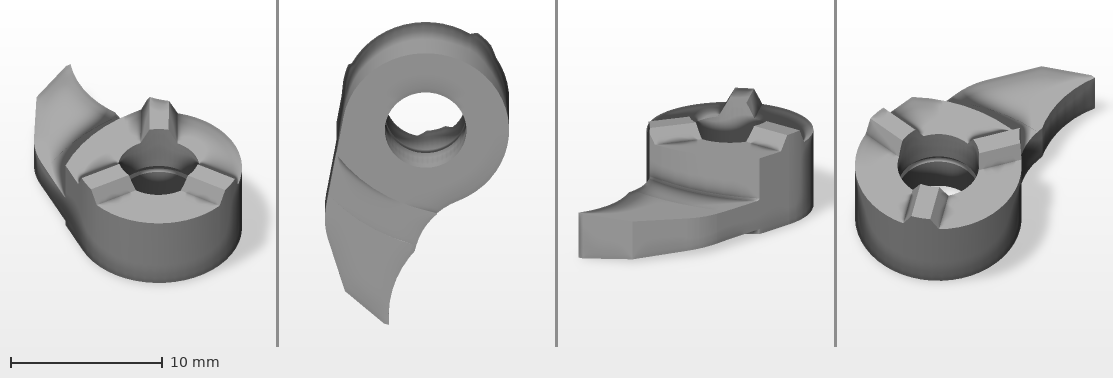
import cadquery as cq
import math

RING_RADIUS = 5.5
RING_HEIGHT = 5.28
BORE_RADIUS = 2.7

GROOVE_DEPTH = 0.33
GROOVE_BOTTOM_Z = 2.48
GROOVE_WIDTH = 0.53

TOOTH_COUNT = 3
FIRST_TOOTH_ANGLE = 30.0
TOOTH_TOP_WIDTH = 1.27
TOOTH_BASE_WIDTH = 2.42
TOOTH_HEIGHT = 1.0

TIP_LENGTH = 14.0
EDGE_Y = 1.25
NOSE_WIDTH = 0.35
HEEL = (-12.52, -2.16)
JOINT_X = -8.52
JOINT_TOP_Y = 1.52
RAKE_LOW = (-11.58, 0.82)
NECK_X = -8.07
BACK_ANGLE = 5.0
HEEL_ANGLE = 32.0
BACK_FILLET = 5.0

ARM_MID_Z = 1.355
TIP_HALF_THICKNESS = 1.57
NECK_HALF_THICKNESS = 1.45
LENGTH_TAPER = 0.019
TIP_RELIEF = 0.065
NECK_RELIEF = 0.068

WALL_X = -5.54
WALL_RADIUS = 10.18
NECK_EDGE_RADIUS = 11.7
FOOT_FILLET = 0.14

FAR = 29.25


def back_edge():
    """Tangent points of the back edge on the ring, both ends of its fillet and the fillet middle."""
    back, heel = math.radians(BACK_ANGLE), math.radians(HEEL_ANGLE)
    ring_point = (-RING_RADIUS * math.sin(back), -RING_RADIUS * math.cos(back))
    back_slope, heel_slope = -math.tan(back), -math.tan(heel)
    corner_x = (HEEL[1] - ring_point[1] + back_slope * ring_point[0] - heel_slope * HEEL[0]) / (
        back_slope - heel_slope)
    corner_y = HEEL[1] + heel_slope * (corner_x - HEEL[0])
    setback = BACK_FILLET * math.tan((heel - back) / 2)
    end = (corner_x + setback * math.cos(back), corner_y - setback * math.sin(back))
    centre = (end[0] + BACK_FILLET * math.sin(back), end[1] + BACK_FILLET * math.cos(back))

    def on_fillet(angle):
        return (centre[0] - BACK_FILLET * math.sin(angle), centre[1] - BACK_FILLET * math.cos(angle))

    return ring_point, end, on_fillet((back + heel) / 2), on_fillet(heel)


def neck_hollow():
    """Middle and end of the arc that leaves the neck level and runs tangent into the ring."""
    radius = (NECK_X**2 + JOINT_TOP_Y**2 - RING_RADIUS**2) / (2 * (RING_RADIUS - JOINT_TOP_Y))
    centre = (NECK_X, JOINT_TOP_Y + radius)
    end_angle = math.atan2(-centre[1], -centre[0])
    mid_angle = (end_angle - math.pi / 2) / 2
    middle = (centre[0] + radius * math.cos(mid_angle), centre[1] + radius * math.sin(mid_angle))
    end = (centre[0] + radius * math.cos(end_angle), centre[1] + radius * math.sin(end_angle))
    return middle, end


def plan_prism(bottom, top):
    """The whole plan outline of ring, arm and tip, extruded between two levels."""
    ring_point, fillet_end, fillet_middle, fillet_start = back_edge()
    hollow_middle, hollow_end = neck_hollow()
    return (
        cq.Workplane("XY", origin=(0, 0, bottom))
        .moveTo(-TIP_LENGTH, EDGE_Y)
        .lineTo(-TIP_LENGTH, EDGE_Y - NOSE_WIDTH)
        .lineTo(*HEEL)
        .lineTo(*fillet_start)
        .threePointArc(fillet_middle, fillet_end)
        .lineTo(*ring_point)
        .threePointArc((RING_RADIUS, 0), hollow_end)
        .threePointArc(hollow_middle, (NECK_X, JOINT_TOP_Y))
        .lineTo(JOINT_X, JOINT_TOP_Y)
        .threePointArc(RAKE_LOW, (-TIP_LENGTH, EDGE_Y))
        .close()
        .extrude(top - bottom)
    )


def ring_side(wall_x, radius):
    """Everything on the ring side of a wall: straight above EDGE_Y, a tangent arc below it."""
    straight = cq.Workplane("XY").box(FAR, FAR, FAR, centered=(False, False, True))
    straight = straight.translate((wall_x, EDGE_Y, 0))
    half_round = cq.Workplane("XY", origin=(wall_x + radius, EDGE_Y, -FAR / 2)).circle(radius).extrude(FAR)
    return straight.union(half_round)


def taper_slab(half_thickness, start_x, length_taper, relief, level_above_edge):
    """Slab about the middle plane, half_thickness at (start_x, EDGE_Y), thinning along +X and -Y.

    Above EDGE_Y it either stays level or carries on with the same slope.
    """
    low_y, high_y = -RING_RADIUS, RING_RADIUS
    high_rise = 0 if level_above_edge else relief * (high_y - EDGE_Y)
    rises = [(low_y, relief * (low_y - EDGE_Y)), (EDGE_Y, 0), (high_y, high_rise)]

    def section(x):
        half = half_thickness - length_taper * (x - start_x)
        upper = [cq.Vector(x, y, ARM_MID_Z + half + rise) for y, rise in rises]
        lower = [cq.Vector(x, y, ARM_MID_Z - half - rise) for y, rise in reversed(rises)]
        return cq.Wire.makePolygon(upper + lower, close=True)

    return cq.Workplane(cq.Solid.makeLoft([section(-TIP_LENGTH), section(0)], True)).clean()


def tapered_blade():
    """Cutting tip and the front of the arm, up to the curved edge at the neck."""
    slab = taper_slab(TIP_HALF_THICKNESS, -TIP_LENGTH, LENGTH_TAPER, TIP_RELIEF, True)
    outline = plan_prism(-RING_HEIGHT, RING_HEIGHT)
    return outline.intersect(slab).cut(ring_side(NECK_X, NECK_EDGE_RADIUS))


def neck():
    """Arm between the curved edge and the step wall."""
    slab = taper_slab(NECK_HALF_THICKNESS, NECK_X, 0, NECK_RELIEF, False)
    band = ring_side(NECK_X, NECK_EDGE_RADIUS).cut(ring_side(WALL_X, WALL_RADIUS))
    return plan_prism(-RING_HEIGHT, RING_HEIGHT).intersect(slab).intersect(band)


def tooth(angle):
    """Radial tooth of trapezoid section, trimmed to the ring's outline."""
    prism = (
        cq.Workplane("YZ")
        .polyline([
            (-TOOTH_BASE_WIDTH / 2, RING_HEIGHT),
            (TOOTH_BASE_WIDTH / 2, RING_HEIGHT),
            (TOOTH_TOP_WIDTH / 2, RING_HEIGHT + TOOTH_HEIGHT),
            (-TOOTH_TOP_WIDTH / 2, RING_HEIGHT + TOOTH_HEIGHT),
        ])
        .close()
        .extrude(FAR)
        .rotate((0, 0, 0), (0, 0, 1), angle)
    )
    trim = plan_prism(RING_HEIGHT, RING_HEIGHT + TOOTH_HEIGHT)
    return prism.intersect(trim).intersect(ring_side(WALL_X, WALL_RADIUS))


def half_space_of_tip():
    """Block that holds everything on the tip side of the joint."""
    return cq.Workplane("XY").box(FAR, FAR, FAR).translate((JOINT_X - FAR / 2, 0, 0))


def make_holder(blade):
    """Ring with teeth and bore, joined to the arm as far as the joint."""
    ring = plan_prism(0, RING_HEIGHT).intersect(ring_side(WALL_X, WALL_RADIUS))
    holder = ring.union(neck())
    foot = cq.selectors.BoxSelector(
        (WALL_X - 0.2, -BORE_RADIUS, ARM_MID_Z),
        (-BORE_RADIUS, BORE_RADIUS, RING_HEIGHT / 2),
    )
    holder = holder.edges(foot).edges("not |Z").fillet(FOOT_FILLET)
    holder = holder.union(blade.cut(half_space_of_tip()))
    for index in range(TOOTH_COUNT):
        holder = holder.union(tooth(FIRST_TOOTH_ANGLE + index * 360 / TOOTH_COUNT))
    bore = cq.Workplane("XY").circle(BORE_RADIUS).extrude(RING_HEIGHT + TOOTH_HEIGHT)
    groove = (
        cq.Workplane("XY", origin=(0, 0, GROOVE_BOTTOM_Z))
        .circle(BORE_RADIUS + GROOVE_DEPTH)
        .extrude(GROOVE_WIDTH)
    )
    return holder.cut(bore).cut(groove)


def make_cutting_tip(blade):
    """Pointed tip beyond the flat joint."""
    return blade.intersect(half_space_of_tip())


blade = tapered_blade()
holder = make_holder(blade)
cutting_tip = make_cutting_tip(blade)

result = cq.Compound.makeCompound([holder.val(), cutting_tip.val()])